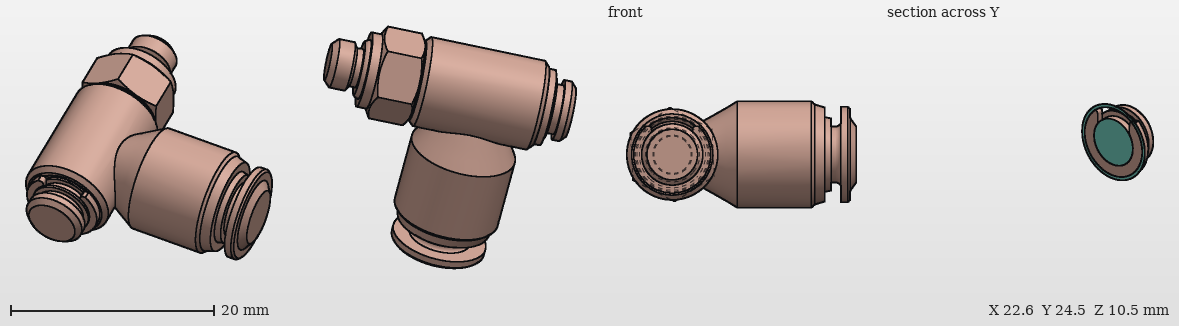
import cadquery as cq
import math


barrel_r = 4.48
barrel_front_y = -6.25
barrel_back_y = 6.2
barrel_chamfer = 0.5
recess_mouth_r = 3.63
recess_depth = 0.37

knob_end_y = -9.29
knob_len = 1.22
knob_r = 3.01
knob_chamfer = 0.51
stem_r = 2.47
collar_back_y = -6.98
collar_len = 0.27
shoulder_setback = 0.12

clip_r = 3.8
clip_opening = 4.02
clip_tip_z = 2.8
clip_tip_fillet = 0.32

swivel_neck_r = 3.5
hex_front_y = 6.35
hex_back_y = 10.58
hex_flats = 8.0
hex_turn = 3.0
hex_back_chamfer_r = 3.8
hex_back_chamfer_angle = 30.0
hex_front_chamfer_len = 0.35
washer_r = 3.75
washer_len = 0.98
seal_base_r = 3.0
seal_top_r = 2.67
seal_len = 0.51
seal_bulge = 0.07
spigot_neck_r = 1.94
spigot_neck_end_y = 12.72
thread_start_y = 13.03
thread_r = 2.45
thread_end_y = 15.21
thread_chamfer = 0.61

socket_d = 10.5
socket_r = socket_d / 2
socket_start_x = 6.42
socket_end_x = 13.7
root_cone_angle = 30.0
socket_chamfer = 0.32
cap_end_x = 15.02
cap_end_r = 4.63
lip_start_r = 3.7
lip_end_r = 3.55
lip_end_x = 15.63

button_neck_r = 2.77
flare_start_x = 16.12
flare_r = 3.06
flare_mid_r = 2.85
flange_start_x = 16.59
flange_r = 4.7
flange_end_x = 17.5
flange_chamfer = 0.22
nose_r = 3.63
button_end_x = 18.1
button_end_r = button_neck_r


def turned_along_y(points):
    """Revolve an outline of (radius, y) points about the Y axis."""
    return cq.Workplane("XY").polyline(points).close().revolve(360, (0, 0), (0, 1))


def cylinder_along_y(radius, start_y, end_y):
    return turned_along_y([(0, start_y), (radius, start_y), (radius, end_y), (0, end_y)])


def make_barrel():
    recess_floor_r = recess_mouth_r - recess_depth
    face_r = barrel_r - barrel_chamfer
    return turned_along_y([
        (0, barrel_front_y + recess_depth),
        (recess_floor_r, barrel_front_y + recess_depth),
        (recess_mouth_r, barrel_front_y),
        (face_r, barrel_front_y),
        (barrel_r, barrel_front_y + barrel_chamfer),
        (barrel_r, barrel_back_y - barrel_chamfer),
        (face_r, barrel_back_y),
        (0, barrel_back_y),
    ])


def make_knob():
    """Knob, stem, collar and shoulder, turned in one piece."""
    knob_back_y = knob_end_y + knob_len
    collar_front_y = collar_back_y - collar_len
    shoulder_y = barrel_front_y + shoulder_setback
    return turned_along_y([
        (0, knob_end_y),
        (knob_r - knob_chamfer, knob_end_y),
        (knob_r, knob_end_y + knob_chamfer),
        (knob_r, knob_back_y),
        (stem_r, knob_back_y),
        (stem_r, collar_front_y),
        (knob_r, collar_front_y),
        (knob_r, collar_back_y),
        (stem_r, collar_back_y),
        (stem_r, shoulder_y),
        (knob_r, shoulder_y),
        (knob_r, 0),
        (0, 0),
    ])


def make_clip():
    """Ring open toward +Z, with its two tips cut level and rounded on the inside."""
    clip_len = barrel_front_y - collar_back_y
    ring = cylinder_along_y(clip_r, collar_back_y, barrel_front_y).cut(
        cylinder_along_y(stem_r, collar_back_y, barrel_front_y)
    )
    above_tips = (
        cq.Workplane("XY")
        .box(2 * clip_r, clip_len, clip_r, centered=(True, False, False))
        .translate((0, collar_back_y, clip_tip_z))
    )
    opening = (
        cq.Workplane("XY")
        .box(clip_opening, clip_len, clip_r, centered=(True, False, False))
        .translate((0, collar_back_y, 0))
    )
    clip = ring.cut(above_tips).cut(opening)
    for side in (-1, 1):
        tip_corner = (side * clip_opening / 2, collar_back_y + clip_len / 2, clip_tip_z)
        clip = clip.edges(cq.selectors.NearestToPointSelector(tip_corner)).fillet(clip_tip_fillet)
    return clip


def make_hexagon():
    """Hexagon with both ends turned to a cone."""
    corner_up_turn = 360 / 12
    corner_r = hex_flats / 2 / math.cos(math.pi / 6)
    back_chamfer_len = (corner_r - hex_back_chamfer_r) * math.tan(math.radians(hex_back_chamfer_angle))
    prism = (
        cq.Workplane("XZ", origin=(0, hex_front_y, 0))
        .polygon(6, 2 * corner_r)
        .extrude(hex_front_y - hex_back_y)
        .rotate((0, 0, 0), (0, 1, 0), corner_up_turn - hex_turn)
    )
    turned_envelope = turned_along_y([
        (0, hex_front_y),
        (hex_flats / 2, hex_front_y),
        (corner_r, hex_front_y + hex_front_chamfer_len),
        (corner_r, hex_back_y - back_chamfer_len),
        (hex_back_chamfer_r, hex_back_y),
        (0, hex_back_y),
    ])
    return prism.intersect(turned_envelope)


def make_seal(start_y):
    """Seal ring whose outer side bulges from the base to the smaller top."""
    end_y = start_y + seal_len
    middle_r = (seal_base_r + seal_top_r) / 2 + seal_bulge
    outline = (
        cq.Workplane("XY")
        .moveTo(0, start_y)
        .lineTo(seal_base_r, start_y)
        .threePointArc((middle_r, start_y + seal_len / 2), (seal_top_r, end_y))
        .lineTo(0, end_y)
        .close()
    )
    return outline.revolve(360, (0, 0), (0, 1))


def make_spigot(start_y):
    return turned_along_y([
        (0, start_y),
        (spigot_neck_r, start_y),
        (spigot_neck_r, spigot_neck_end_y),
        (thread_r, thread_start_y),
        (thread_r, thread_end_y - thread_chamfer),
        (thread_r - thread_chamfer, thread_end_y),
        (0, thread_end_y),
    ])


def make_socket():
    """Tube socket with its root cone, end cap and release button, turned about X."""
    root_r = socket_r - socket_start_x * math.tan(math.radians(root_cone_angle))
    flare_mid_x = (flare_start_x + flange_start_x) / 2
    outline = (
        cq.Workplane("XY")
        .moveTo(0, 0)
        .lineTo(0, root_r)
        .lineTo(socket_start_x, socket_r)
        .lineTo(socket_end_x, socket_r)
        .lineTo(socket_end_x + socket_chamfer, socket_r - socket_chamfer)
        .lineTo(cap_end_x, cap_end_r)
        .lineTo(cap_end_x, lip_start_r)
        .lineTo(lip_end_x, lip_end_r)
        .lineTo(lip_end_x, button_neck_r)
        .lineTo(flare_start_x, button_neck_r)
        .threePointArc((flare_mid_x, flare_mid_r), (flange_start_x, flare_r))
        .lineTo(flange_start_x, flange_r)
        .lineTo(flange_end_x - flange_chamfer, flange_r)
        .lineTo(flange_end_x, flange_r - flange_chamfer)
        .lineTo(flange_end_x, nose_r)
        .lineTo(button_end_x, button_end_r)
        .lineTo(button_end_x, 0)
        .close()
    )
    return outline.revolve(360, (0, 0), (1, 0))


washer_end_y = hex_back_y + washer_len

result = (
    make_barrel()
    .union(make_knob())
    .union(make_clip())
    .union(cylinder_along_y(swivel_neck_r, 0, hex_front_y))
    .union(make_hexagon())
    .union(cylinder_along_y(washer_r, hex_back_y, washer_end_y))
    .union(make_seal(washer_end_y))
    .union(make_spigot(washer_end_y))
    .union(make_socket())
)